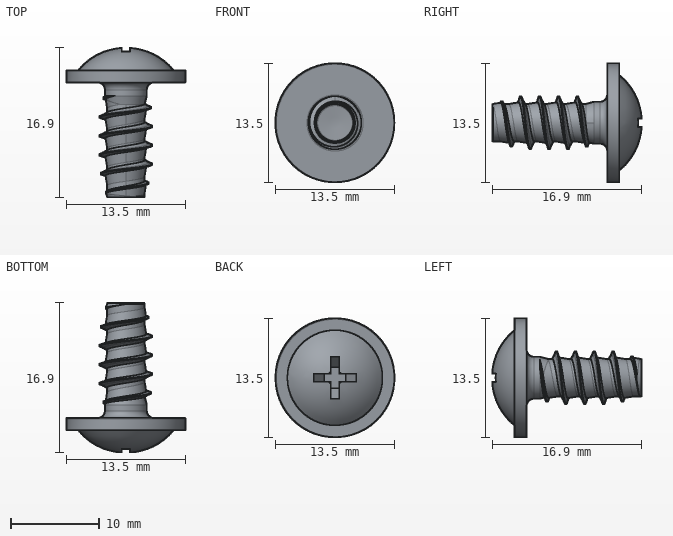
import cadquery as cq
import math


flange_radius = 6.75
flange_thickness = 1.4
flange_edge_radius = 0.1
dome_radius = 6.95
dome_height = 2.56

arm_width = 0.92
arm_reach = 2.4
arm_bottom_reach = 1.2
core_reach = 1.15
core_bottom_reach = 0.8
recess_depth = 2.2

shank_length = 13.0
neck_radius = 2.385
neck_length = 1.5
neck_fillet = 0.8
neck_taper_radius = 2.09
neck_taper_end = 2.6
core_radius = 2.135
tip_radius = 2.09
tip_cone_length = 3.0
tip_cone_max_radius = 3.2
tip_dish_radius = 1.97
tip_dish_depth = 0.15

crest_radius = 3.0
pitch = 2.14
first_crest_depth = 1.21
first_turn = -1
last_turn = 6
full_height_start_turn = 1.0
full_height_end_turn = 4.0
runout_turns = 1.3
points_per_turn = 24

full_section = [
    (core_radius, 0.47),
    (2.6, 0.2),
    (crest_radius, 0.04),
    (crest_radius, -0.05),
    (2.32, -0.25),
    (core_radius, -1.37),
]
faded_band_radius = 2.27
faded_section = [
    (core_radius, 0.12),
    (2.2, 0.08),
    (faded_band_radius, 0.04),
    (faded_band_radius, -0.05),
    (faded_band_radius, -0.1),
    (core_radius, -1.0),
]


def revolve_about_y(outline):
    return outline.close().revolve(360, (0, 0, 0), (0, 1, 0))


def make_head():
    flange = cq.Workplane("XZ").circle(flange_radius).extrude(-flange_thickness)
    flange = flange.edges().fillet(flange_edge_radius)

    apex = flange_thickness + dome_height
    center_y = apex - dome_radius
    base_radius = math.sqrt(dome_radius**2 - (flange_thickness - center_y) ** 2)
    half_angle = math.asin(base_radius / dome_radius) / 2
    arc_middle = (
        dome_radius * math.sin(half_angle),
        center_y + dome_radius * math.cos(half_angle),
    )
    dome = revolve_about_y(
        cq.Workplane("XY")
        .moveTo(0, flange_thickness / 2)
        .lineTo(base_radius, flange_thickness / 2)
        .lineTo(base_radius, flange_thickness)
        .threePointArc(arc_middle, (0, apex))
    )
    return flange.union(dome)


def make_cross_recess():
    apex = flange_thickness + dome_height
    bottom = apex - recess_depth
    arm_drop = dome_radius - math.sqrt(dome_radius**2 - arm_reach**2)
    arm_end = apex - arm_drop
    arm = (
        cq.Workplane("XY")
        .polyline(
            [
                (-arm_bottom_reach, bottom),
                (arm_bottom_reach, bottom),
                (arm_reach, arm_end),
                (arm_reach, apex),
                (-arm_reach, apex),
                (-arm_reach, arm_end),
            ]
        )
        .close()
        .extrude(arm_width / 2, both=True)
    )
    core = (
        cq.Workplane("XZ", origin=(0, bottom, 0))
        .polygon(4, 2 * core_bottom_reach)
        .workplane(offset=-recess_depth)
        .polygon(4, 2 * core_reach)
        .loft()
    )
    return arm.union(arm.rotate((0, 0, 0), (0, 1, 0), 90)).union(core)


def make_neck():
    fillet_middle = neck_fillet * (1 - math.sqrt(0.5))
    return revolve_about_y(
        cq.Workplane("XY")
        .moveTo(0, flange_thickness / 2)
        .lineTo(neck_radius + neck_fillet, flange_thickness / 2)
        .lineTo(neck_radius + neck_fillet, 0)
        .threePointArc(
            (neck_radius + fillet_middle, -fillet_middle),
            (neck_radius, -neck_fillet),
        )
        .lineTo(neck_radius, -neck_length)
        .lineTo(neck_taper_radius, -neck_taper_end)
        .lineTo(0, -neck_taper_end)
    )


def make_tip_dish():
    return revolve_about_y(
        cq.Workplane("XY")
        .moveTo(0, -shank_length)
        .lineTo(tip_dish_radius, -shank_length)
        .lineTo(0, tip_dish_depth - shank_length)
    )


def ridge_fullness(turn):
    """Share of the full ridge height at a turn: 1 along the thread, fading to 0 at both ends."""
    turns_outside = max(full_height_start_turn - turn, turn - full_height_end_turn, 0)
    return max(1 - turns_outside / runout_turns, 0)


def section_point(corner, turn):
    """Position in space of a section corner at a turn."""
    fullness = ridge_fullness(turn)
    full_radius, full_offset = full_section[corner]
    faded_radius, faded_offset = faded_section[corner]
    radius = faded_radius + fullness * (full_radius - faded_radius)
    offset = faded_offset + fullness * (full_offset - faded_offset)
    crest_y = -first_crest_depth - pitch * turn
    angle = 2 * math.pi * turn
    return cq.Vector(
        -radius * math.sin(angle),
        crest_y + offset,
        radius * math.cos(angle),
    )


def helix_edge(corner, turn):
    """One turn of the helical edge followed by a section corner."""
    points = []
    for step in range(points_per_turn + 1):
        points.append(section_point(corner, turn + step / points_per_turn))
    return cq.Edge.makeSpline(points)


def axis_point(turn):
    return cq.Vector(0, section_point(0, turn).y, 0)


def helical_cap(turn):
    """Screw-shaped face from the axis out to the first corner's helix."""
    axis = cq.Edge.makeLine(axis_point(turn), axis_point(turn + 1))
    return cq.Face.makeRuledSurface(axis, helix_edge(0, turn))


def radial_cap(turn):
    """Flat face from the axis out to the section at the start of a turn."""
    corners = [section_point(corner, turn) for corner in range(len(full_section))]
    outline = [axis_point(turn), *corners, section_point(0, turn + 1), axis_point(turn + 1)]
    return cq.Face.makeFromWires(cq.Wire.makePolygon(outline, close=True))


def make_threaded_core():
    faces = []
    for turn in range(first_turn, last_turn):
        edges = [helix_edge(corner, turn) for corner in range(len(full_section))]
        edges.append(helix_edge(0, turn + 1))
        faces += [cq.Face.makeRuledSurface(a, b) for a, b in zip(edges, edges[1:])]
    for turn in (first_turn, last_turn):
        faces += [helical_cap(turn), radial_cap(turn)]
    shell = cq.Shell.makeShell(faces)
    core = cq.Workplane(cq.Solid.makeSolid(shell).fix())
    threaded_zone = revolve_about_y(
        cq.Workplane("XY")
        .moveTo(0, -neck_length)
        .lineTo(tip_cone_max_radius, -neck_length)
        .lineTo(tip_cone_max_radius, tip_cone_length - shank_length)
        .lineTo(tip_radius, -shank_length)
        .lineTo(0, -shank_length)
    )
    return core.intersect(threaded_zone)


shank = make_threaded_core().union(make_neck()).cut(make_tip_dish())
result = make_head().cut(make_cross_recess()).union(shank)